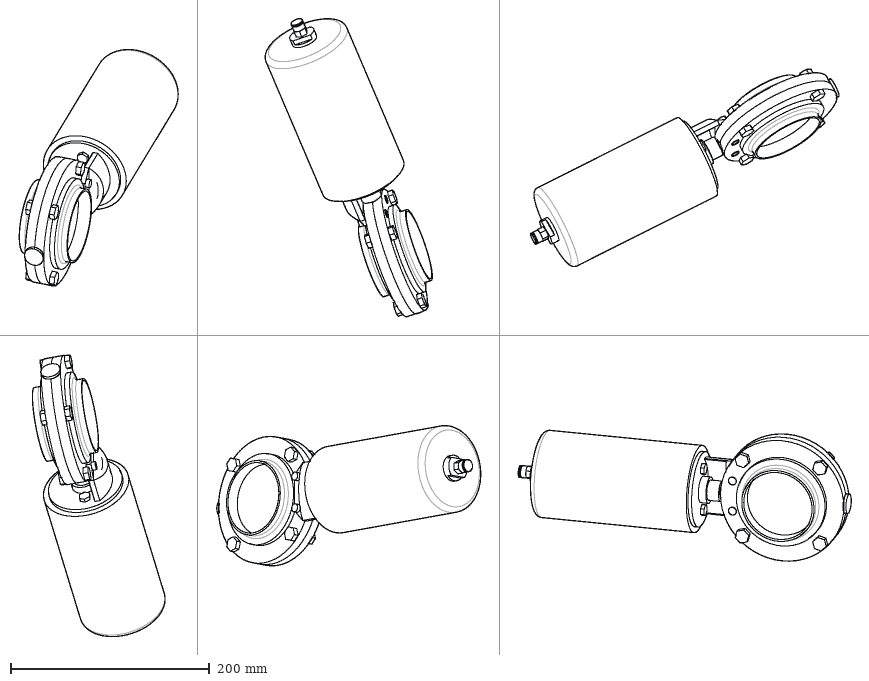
import cadquery as cq
import math


flange_radius = 129.0 / 2
flange_thickness = 10.0
hub_radius = 46.5
hub_end = 15.0
pipe_radius = 38.0
pipe_wall = 2.0
pipe_end = 25.5
bore_radius = pipe_radius - pipe_wall
hub_slope_end = 17.0
hub_fillet = 3.0
flange_bolt_offset = 40.5
flange_bolt_corners = 14.8

disc_half_thickness = 12.0
stem_radius = 6.2
cap_radius = 10.0
cap_end = -66.7
cap_seat = -63.5

neck_start = 66.5
neck_radius = 10.3
collar_start = 78.8
collar_radius = 13.5
cover_start = 86.7
cover_radius = 38.2
body_start = 90.5
body_radius = 88.5 / 2
body_end = 255.0
body_fillet = 5.0
boss_radius = 13.0
boss_flats_start = 258.0
boss_flats_width = 18.2
boss_end = 262.8
hexagon_end = 269.5
hexagon_corners = 13.5
fitting_radius = 6.2
overall_length = 344
fitting_end = overall_length + cap_end
groove_start = 275.0
groove_width = 1.0
groove_depth = 0.5
cover_bolt_offset = 22.0
cover_bolt_corners = 11.7
cover_bolt_height = 3.8

bracket_half_width = 29.5
bracket_crown = 28.2
bracket_rim = 1.0
pocket_crown = 23.5
plate_outer = hub_end
plate_end = 47.5
plate_taper_start = 59.0
pocket_end = 64.5
slope_start = neck_start
pin_offset = 16.0
pin_centre_y = 52.0
pin_radius = 4.0
pin_head_end = 19.3
pin_tip_end = -10.5


def cylinder_along_y(radius, start, end):
    """Cylinder on the stem axis between two places along Y."""
    return cq.Workplane("XZ", origin=(0, start, 0)).circle(radius).extrude(start - end)


def hexagon_along_y(corners, start, end, z=0.0):
    """Hexagonal prism along Y with two corners pointing along Z."""
    sketch = cq.Workplane("XZ", origin=(0, start, z)).transformed(rotate=(0, 0, 90))
    return sketch.polygon(6, corners).extrude(start - end)


def make_pins():
    """The two round pins that hold the bracket and both flange halves together."""
    centres = [(pin_centre_y, -pin_offset), (pin_centre_y, pin_offset)]
    pins = cq.Workplane("YZ", origin=(pin_tip_end, 0, 0)).pushPoints(centres)
    return pins.circle(pin_radius).extrude(pin_head_end - pin_tip_end)


def make_disc():
    """Valve disc with its stem and the round cap at the lower end of the stem."""
    plate = cq.Workplane("YZ").circle(bore_radius).extrude(disc_half_thickness, both=True)
    stem = cylinder_along_y(stem_radius, cap_end, neck_start)
    cap = cylinder_along_y(cap_radius, cap_end, cap_seat)
    return plate.union(stem).union(cap)


def make_flange(side):
    """Flange half on the +X (side=1) or -X (side=-1) side of the joint plane."""
    profile = [
        (0, bore_radius),
        (0, flange_radius),
        (flange_thickness, flange_radius),
        (flange_thickness, hub_radius),
        (hub_end, hub_radius),
        (hub_slope_end, pipe_radius),
        (pipe_end, pipe_radius),
        (pipe_end, bore_radius),
    ]
    flange = cq.Workplane("XY").polyline(profile).close().revolve(360, (0, 0, 0), (1, 0, 0))
    margin = (hub_slope_end - hub_end) / 2
    root = cq.selectors.BoxSelector(
        (hub_slope_end - margin, -hub_radius, -hub_radius),
        (hub_slope_end + margin, hub_radius, hub_radius),
    )
    flange = flange.edges(root).fillet(hub_fillet)

    for angle in (45, 135, 225, 315):
        bolt = (
            cq.Workplane("YZ", origin=(flange_thickness, 0, 0))
            .transformed(rotate=(0, 0, angle))
            .center(flange_bolt_offset * math.sqrt(2), 0)
            .transformed(rotate=(0, 0, 30))
            .polygon(6, flange_bolt_corners)
            .extrude(hub_end - flange_thickness)
        )
        flange = flange.union(bolt)

    if side < 0:
        flange = flange.mirror("YZ")
    return flange.cut(make_disc()).cut(make_pins())


def make_actuator():
    """Actuator cylinder with its neck, cover bolts and end fitting."""
    body = cylinder_along_y(body_radius, body_start, body_end).faces(">Y").edges().fillet(body_fillet)
    cover = cylinder_along_y(cover_radius, cover_start, body_start)
    collar = cylinder_along_y(collar_radius, collar_start, cover_start)
    neck = cylinder_along_y(neck_radius, neck_start, collar_start)
    actuator = body.union(cover).union(collar).union(neck)

    for z in (-cover_bolt_offset, cover_bolt_offset):
        bolt_head = hexagon_along_y(cover_bolt_corners, cover_start - cover_bolt_height, cover_start, z)
        actuator = actuator.union(bolt_head)

    boss = cylinder_along_y(boss_radius, body_end, boss_flats_start)
    flats = cq.Workplane("XY").box(2 * boss_radius, 2 * boss_end, boss_flats_width)
    flatted_boss = cylinder_along_y(boss_radius, boss_flats_start, boss_end).intersect(flats)
    hexagon = hexagon_along_y(hexagon_corners, boss_end, hexagon_end)
    fitting = cylinder_along_y(fitting_radius, hexagon_end, fitting_end)
    groove_end = groove_start + groove_width
    groove = cylinder_along_y(fitting_radius, groove_start, groove_end)
    groove = groove.cut(cylinder_along_y(fitting_radius - groove_depth, groove_start, groove_end))
    fitting = fitting.cut(groove)
    return actuator.union(boss).union(flatted_boss).union(hexagon).union(fitting)


def arch_segment(half_width, base, crown, start, end):
    """Bar along Y whose section lies between a chord at the base and an arc through the crown."""
    return (
        cq.Workplane("XZ", origin=(0, start, 0))
        .moveTo(base, -half_width)
        .threePointArc((crown, 0), (base, half_width))
        .close()
        .extrude(start - end)
    )


def make_bracket():
    """Arched bracket between the actuator and the +X flange, with its two pins."""
    plate = cq.Workplane("XY").box(
        plate_outer - flange_thickness,
        cover_start - plate_end,
        2 * bracket_half_width,
        centered=(False, False, True),
    )
    plate = plate.translate((flange_thickness, plate_end, 0))
    bar = plate.union(arch_segment(bracket_half_width, plate_outer, bracket_crown, plate_end, cover_start))
    pocket = arch_segment(
        bracket_half_width - bracket_rim, flange_thickness, pocket_crown, pocket_end, cover_start
    )

    side_outline = [
        (flange_thickness, plate_end),
        (plate_outer, plate_end),
        (plate_outer, plate_taper_start),
        (bracket_crown, slope_start),
        (bracket_crown, cover_start),
        (flange_thickness, cover_start),
    ]
    side_shape = cq.Workplane("XY").polyline(side_outline).close().extrude(bracket_half_width, both=True)

    tip_half_width = bracket_half_width - (plate_taper_start - plate_end)
    plate_outline = [
        (plate_end, -tip_half_width),
        (plate_taper_start, -bracket_half_width),
        (cover_start, -bracket_half_width),
        (cover_start, bracket_half_width),
        (plate_taper_start, bracket_half_width),
        (plate_end, tip_half_width),
    ]
    plate_shape = cq.Workplane("YZ").polyline(plate_outline).close().extrude(bracket_crown)

    return bar.intersect(side_shape).intersect(plate_shape).cut(pocket).union(make_pins())


disc = make_disc().solids()
flanges = [make_flange(side).solids() for side in (-1, 1)]
actuator = make_actuator().solids()
bracket = make_bracket().solids()

result = cq.Compound.makeCompound(
    [disc.val(), *[flange.val() for flange in flanges], actuator.val(), bracket.val()]
)